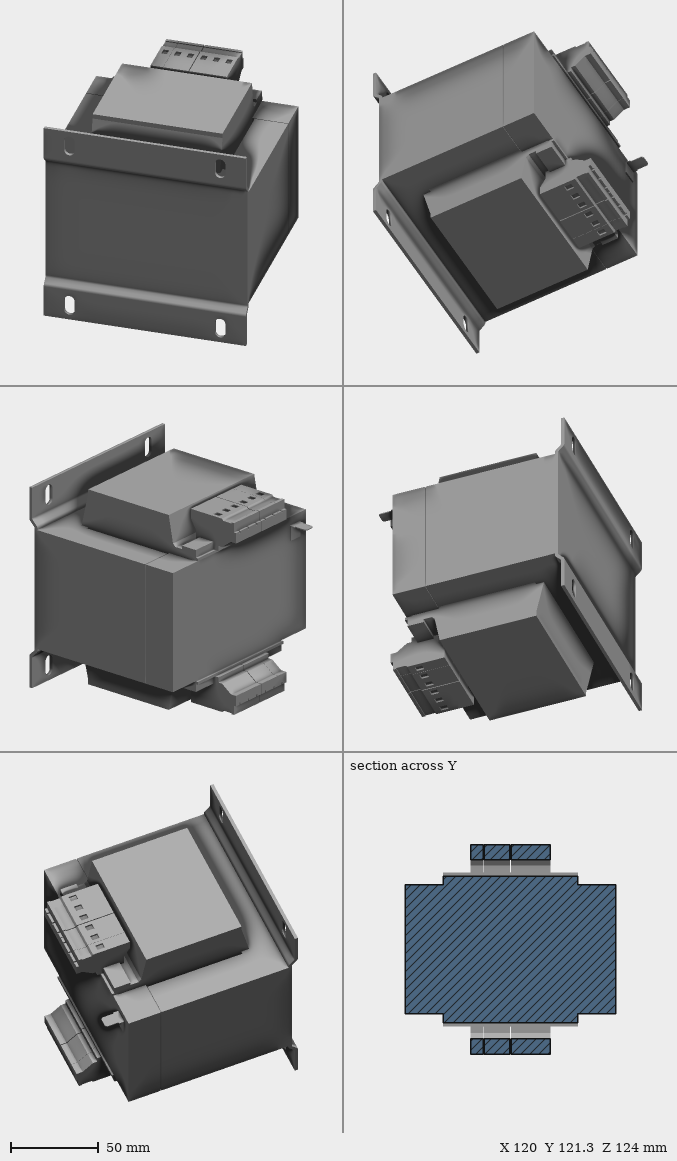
import cadquery as cq


width = 120.0
height = 124.0
sheet = 2.0
jog_depth = 3.8
jog_start = 41.8
convex_bend_radius = 2.2
concave_bend_radius = 1.5
corner_search = 0.1
slot_width = 6.2
slot_length = 12.3
slot_x = 44.8
slot_z = 52.7

core_front = jog_depth + sheet
core_back = 105.3
core_half_height = 36.8
joint_y = 85.1
joint_width = 0.5
joint_depth = 0.5
core_window_half_width = 40.2
core_window_front = 25.8

coil_half_width = 38.6
coil_front = 21.0
coil_top_front = 25.7
coil_top_back = 84.8
coil_top = 60.3
coil_shoulder = 57.4
channel_front = 87.9
channel_floor = 41.8
channel_bevel = 1.7
rail_front = 94.6
rail_back = 104.7
rail_top = 43.9
lip_back = 106.1
lip_top = 39.0
lip_bottom = 37.3
lip_root = 102.0

terminals_front = 88.2
terminals_back = 121.3
terminals_half_width = 22.7
block_gap = 0.5
seam_gap = 0.1
terminals_per_block = 3
pitch = (terminals_half_width - block_gap / 2) / terminals_per_block
terminal_top = 59.8
groove_front = 111.0
groove_run_in = 1.0
groove_floor = 58.7
rib_front = 117.8
rib_top = 59.3
ledge_y = 119.8
ledge_z = 53.6
nose_front = 117.5
nose_bottom = 47.1
slope_foot = 111.1
foot_shoulder = 42.3
foot_back = 108.4
foot_front = 91.9
undercut_bottom = 47.7
undercut_top = 53.8
window_width = 3.3
window_length = 4.5
window_y = 105.0
window_depth = 1.2
notch_width = 1.0
notch_depth = 1.2

tab_x = -49.7
tab_root_width = 8.4
tab_blade_width = 7.0
tab_top = 31.5
tab_thickness = 0.6
leg_thickness = 0.9
tab_bottom = 22.3
tab_shoulder = 108.6
tab_end = 116.5
tab_chamfer = 1.0


def box(x0, x1, y0, y1, z0, z1):
    """Box between two opposite corners."""
    return cq.Workplane("XY").box(x1 - x0, y1 - y0, z1 - z0, centered=False).translate((x0, y0, z0))


def extrude_side(points, x0, x1):
    """Extrude a closed (y, z) outline from x0 to x1."""
    return cq.Workplane("YZ", origin=(x0, 0, 0)).polyline(points).close().extrude(x1 - x0)


def with_mirror(body):
    """Join a body of the upper half with its copy in the lower half."""
    return body.union(body.mirror("XY"))


def make_bracket():
    """Jogged sheet with four mounting slots."""
    half = width / 2
    jog_end = jog_start - jog_depth
    shift = sheet * (2 ** 0.5 - 1)
    outer = [(0, height / 2), (0, jog_start), (jog_depth, jog_end)]
    inner = [(core_front, 0), (core_front, jog_end + shift), (sheet, jog_start + shift), (sheet, height / 2)]
    upper = extrude_side(outer + [(jog_depth, 0)] + inner, -half, half)
    bends = [
        (outer[1], convex_bend_radius),
        (outer[2], concave_bend_radius),
        (inner[1], convex_bend_radius),
        (inner[2], concave_bend_radius),
    ]
    for (y, z), radius in bends:
        corner = cq.selectors.BoxSelector(
            (-half, y - corner_search, z - corner_search), (half, y + corner_search, z + corner_search)
        )
        upper = upper.edges("|X").edges(corner).fillet(radius)
    slots = (
        cq.Workplane("XZ")
        .pushPoints([(-slot_x, slot_z), (slot_x, slot_z)])
        .slot2D(slot_length, slot_width, 90)
        .extrude(-sheet)
    )
    return with_mirror(upper.cut(slots))


def make_core():
    """Block with a coil window and a shallow joint groove around it."""
    half = width / 2
    core = box(-half, half, core_front, core_back, -core_half_height, core_half_height)
    joint_front = joint_y - joint_width / 2
    joint_back = joint_y + joint_width / 2
    joint = box(-half, half, joint_front, joint_back, -core_half_height, core_half_height)
    inset_x = half - joint_depth
    inset_z = core_half_height - joint_depth
    joint = joint.cut(box(-inset_x, inset_x, joint_front, joint_back, -inset_z, inset_z))
    window = box(
        -core_window_half_width, core_window_half_width,
        core_window_front, joint_y,
        -core_half_height, core_half_height,
    )
    return core.cut(joint).cut(window)


def make_coil():
    """Coil body that fills the middle of the core and bulges out above and below."""
    outline = [
        (coil_front, 0),
        (coil_front, core_half_height),
        (coil_top_front, coil_shoulder),
        (coil_top_front, coil_top),
        (coil_top_back, coil_top),
        (channel_front, channel_floor + channel_bevel),
        (channel_front + channel_bevel, channel_floor),
        (rail_front, channel_floor),
        (rail_front, rail_top),
        (rail_back, rail_top),
        (rail_back, lip_top),
        (lip_back, lip_top),
        (lip_back, lip_bottom),
        (lip_root, lip_bottom),
        (lip_root, 0),
    ]
    upper = extrude_side(outline, -coil_half_width, coil_half_width)
    return with_mirror(upper)


def make_terminals():
    """Terminal blocks clipped onto both rails."""
    outline = [
        (terminals_front, terminal_top),
        (groove_front, terminal_top),
        (groove_front + groove_run_in, groove_floor),
        (rib_front, groove_floor),
        (rib_front, rib_top),
        (ledge_y, rib_top),
        (ledge_y, ledge_z),
        (terminals_back, ledge_z),
        (terminals_back, nose_bottom),
        (nose_front, nose_bottom),
        (slope_foot, foot_shoulder),
        (foot_back, foot_shoulder),
        (foot_back, lip_top),
        (rail_front, lip_top),
        (rail_front, channel_floor),
        (foot_front, channel_floor),
        (foot_front, undercut_bottom),
        (terminals_front, undercut_top),
    ]
    end_seam = pitch - terminals_half_width
    upper = extrude_side(outline, -terminals_half_width, end_seam - seam_gap / 2)
    upper = upper.union(extrude_side(outline, end_seam + seam_gap / 2, -block_gap / 2))
    upper = upper.union(extrude_side(outline, block_gap / 2, terminals_half_width))
    for side in (-1, 1):
        for i in range(terminals_per_block):
            x = side * (block_gap / 2 + (i + 0.5) * pitch)
            window = box(
                x - window_width / 2, x + window_width / 2,
                window_y - window_length / 2, window_y + window_length / 2,
                terminal_top - window_depth, terminal_top,
            )
            notch = box(
                x - notch_width / 2, x + notch_width / 2,
                ledge_y, terminals_back, ledge_z - notch_depth, ledge_z,
            )
            upper = upper.cut(window).cut(notch)
    return with_mirror(upper)


def make_earth_tab():
    """Angled tab on the back of the core."""

    def strip(strip_width, y_end, z_bottom):
        half = strip_width / 2
        return box(tab_x - half, tab_x + half, core_back, y_end, z_bottom, tab_top)

    blade_bottom = tab_top - tab_thickness
    blade = strip(tab_blade_width, tab_end, blade_bottom).edges("|Z and >Y").chamfer(tab_chamfer)
    root = strip(tab_root_width, tab_shoulder, blade_bottom)
    leg = strip(tab_root_width, core_back + leg_thickness, tab_bottom)
    return blade.union(root).union(leg)


result = (
    make_core()
    .union(make_bracket())
    .union(make_coil())
    .union(make_terminals())
    .union(make_earth_tab())
)